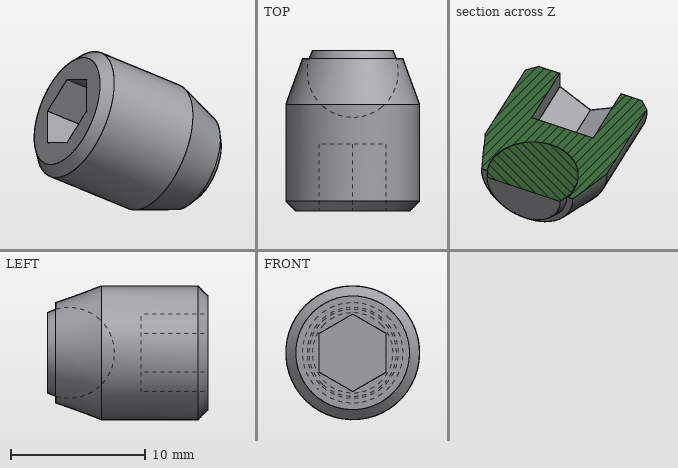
import cadquery as cq
import math

LENGTH = 12.0
DIAMETER = 10.0
CHAMFER = 0.75
CONE_START = 7.97
BODY_LENGTH = 11.38
NOSE_DIAMETER = 7.5
HEX_ACROSS_FLATS = 5.0
HEX_DEPTH = 5.0
BALL_DIAMETER = 6.8
FLAT_DIAMETER = 6.0

SOCKET_FACE = -LENGTH / 2
FLAT_FACE = LENGTH / 2
BALL_CENTER = FLAT_FACE - math.sqrt(BALL_DIAMETER**2 - FLAT_DIAMETER**2) / 2


def make_ball():
    """Ball with a flat where it stands out of the nose."""
    radius = BALL_DIAMETER / 2
    return (
        cq.Workplane("XY")
        .moveTo(0, BALL_CENTER - radius)
        .threePointArc((radius, BALL_CENTER), (FLAT_DIAMETER / 2, FLAT_FACE))
        .lineTo(0, FLAT_FACE)
        .close()
        .revolve(360, (0, 0, 0), (0, 1, 0))
    )


def make_screw(ball):
    """Turned body with a hexagon socket and a seat that fits the ball."""
    radius = DIAMETER / 2
    body = (
        cq.Workplane("XY")
        .moveTo(0, SOCKET_FACE)
        .lineTo(radius - CHAMFER, SOCKET_FACE)
        .lineTo(radius, SOCKET_FACE + CHAMFER)
        .lineTo(radius, SOCKET_FACE + CONE_START)
        .lineTo(NOSE_DIAMETER / 2, SOCKET_FACE + BODY_LENGTH)
        .lineTo(0, SOCKET_FACE + BODY_LENGTH)
        .close()
        .revolve(360, (0, 0, 0), (0, 1, 0))
    )
    corner_diameter = HEX_ACROSS_FLATS / math.cos(math.pi / 6)
    socket = (
        cq.Workplane("XZ", origin=(0, SOCKET_FACE, 0))
        .transformed(rotate=(0, 0, 90))
        .polygon(6, corner_diameter)
        .extrude(-HEX_DEPTH)
    )
    return body.cut(socket).cut(ball)


ball = make_ball()
screw = make_screw(ball)

result = cq.Compound.makeCompound([screw.val(), ball.val()])